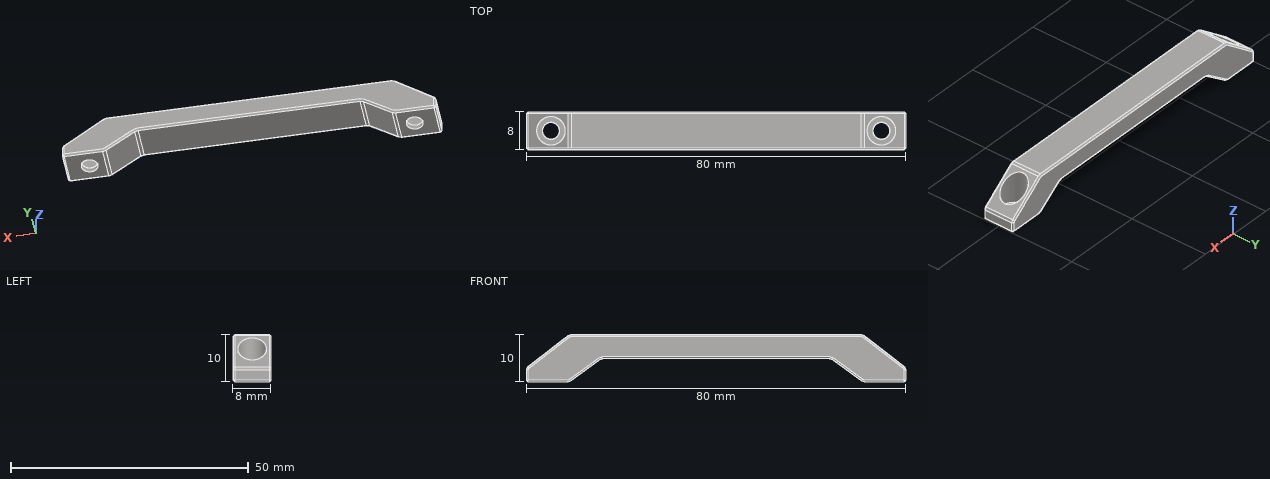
import cadquery as cq

length = 80.0
width = 8.0
height = 10.0

end_height = 3.0
top_knee_inset = 9.1
foot_length = 9.0
grip_inset = 15.8
grip_underside = 5.0
edge_chamfer = 0.4

hole_inset = 5.2
hole_diameter = 3.5
counterbore_diameter = 6.0
counterbore_floor = 1.2

half_length = length / 2


def make_bow():
    """Bow centred on X and Y, standing on Z = 0, with every outer edge chamfered."""
    right_half = [
        (half_length - grip_inset, grip_underside),
        (half_length - foot_length, 0),
        (half_length, 0),
        (half_length, end_height),
        (half_length - top_knee_inset, height),
    ]
    left_half = [(-x, z) for x, z in reversed(right_half)]
    bow = cq.Workplane("XZ").polyline(right_half + left_half).close().extrude(width / 2, both=True)
    return bow.edges().chamfer(edge_chamfer)


def make_vertical_cylinders(diameter, bottom):
    """One cutting cylinder per foot, from the given height up to the handle top."""
    hole_x = half_length - hole_inset
    return (
        cq.Workplane("XY")
        .workplane(offset=bottom)
        .pushPoints([(-hole_x, 0), (hole_x, 0)])
        .circle(diameter / 2)
        .extrude(height - bottom)
    )


screw_holes = make_vertical_cylinders(hole_diameter, 0)
counterbores = make_vertical_cylinders(counterbore_diameter, counterbore_floor)

result = make_bow().cut(screw_holes).cut(counterbores)